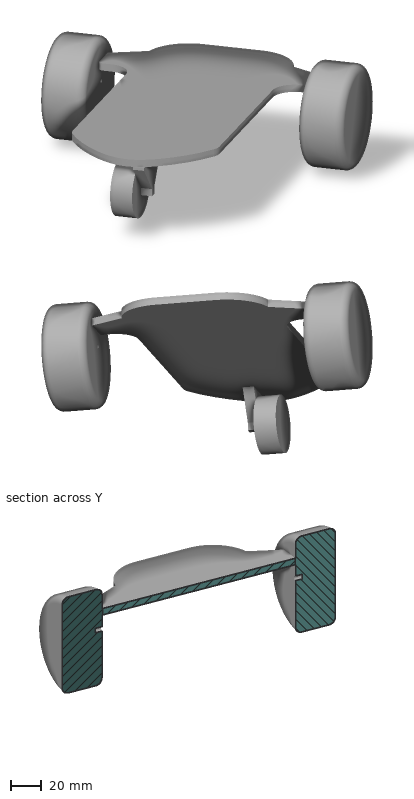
import cadquery as cq
import math


wheel_diameter = 70.0
wheel_width = 30.4
wheel_edge_radius = 5.0
overall_width = 206.0
wheel_pair_offset = -1.1
wheel_spacing = overall_width - wheel_width
wheel_hole_diameter = 3.0
wheel_hole_depth = 5.0
wheel_hole_y = 2.3
wheel_hole_z = 5.2

deck_thickness = 5.0
deck_bottom = 15.0
deck_half_width = 100.0 / 2
deck_front = 50.3
deck_front_radius = 30.0
tail_tip = -174.3
tail_side_end = -132.8
tail_curve_x = 48.0
tail_curve_y = -139.2
tail_middle_x = 25.5
tail_middle_y = -163.7

arm_half_span = 149.8 / 2
arm_rear = -4.8
arm_tip_front = 15.2
arm_root_front = 27.0
arm_root_x = 49.5
arm_tip_radius = 5.0
arm_root_radius = 15.0

caster_diameter = 38.0
caster_width = 15.0
caster_left = -10.7
overall_length = 226.7
caster_y = deck_front - overall_length + caster_diameter / 2
caster_z = -6.1

bracket_thickness = 7.5
bracket_top_front = -139.2
bracket_rear_lip = 1.8
bracket_stub_width = 5.0
bracket_stub_top = -5.2
bracket_stub_height = 5.0

caster_right = caster_left + caster_width
left_wheel_inner = wheel_pair_offset - wheel_spacing / 2 + wheel_width / 2
right_wheel_inner = wheel_pair_offset + wheel_spacing / 2 - wheel_width / 2


def make_wheel(side):
    """Rounded wheel with a small blind hole in its inner face; side is -1 for left, 1 for right."""
    center_x = wheel_pair_offset + side * wheel_spacing / 2
    wheel = (
        cq.Workplane("YZ", origin=(center_x - wheel_width / 2, 0, 0))
        .circle(wheel_diameter / 2)
        .extrude(wheel_width)
        .edges()
        .fillet(wheel_edge_radius)
    )
    inner_face_x = center_x - side * wheel_width / 2
    hole = (
        cq.Workplane("YZ", origin=(inner_face_x, wheel_hole_y, wheel_hole_z))
        .circle(wheel_hole_diameter / 2)
        .extrude(side * wheel_hole_depth)
    )
    return wheel.cut(hole)


def make_deck_body():
    """Long plate with a rounded front and a pointed, curved tail."""
    front_flat = deck_half_width - deck_front_radius
    arc_center_y = deck_front - deck_front_radius
    diagonal = deck_front_radius * math.sqrt(0.5)
    arc_middle = (front_flat + diagonal, arc_center_y + diagonal)
    tail_points = [
        (tail_middle_x, tail_middle_y),
        (0, tail_tip),
        (-tail_middle_x, tail_middle_y),
        (-tail_curve_x, tail_curve_y),
    ]
    return (
        cq.Workplane("XY", origin=(0, 0, deck_bottom))
        .moveTo(-front_flat, deck_front)
        .lineTo(front_flat, deck_front)
        .threePointArc(arc_middle, (deck_half_width, arc_center_y))
        .lineTo(deck_half_width, tail_side_end)
        .threePointArc(tail_corner_middle(1), (tail_curve_x, tail_curve_y))
        .spline(tail_points, includeCurrent=True)
        .threePointArc(tail_corner_middle(-1), (-deck_half_width, tail_side_end))
        .lineTo(-deck_half_width, arc_center_y)
        .threePointArc((-arc_middle[0], arc_middle[1]), (-front_flat, deck_front))
        .close()
        .extrude(deck_thickness)
    )


def tail_corner_middle(side):
    """Middle of a tail corner arc, which is tangent to the straight side."""
    inset = deck_half_width - tail_curve_x
    drop = tail_side_end - tail_curve_y
    radius = (inset**2 + drop**2) / (2 * inset)
    half_angle = math.asin(drop / radius) / 2
    x = side * (deck_half_width - radius * (1 - math.cos(half_angle)))
    y = tail_side_end - radius * math.sin(half_angle)
    return (x, y)


def make_arms():
    """Both arms as one crosspiece, ended flush with the inner wheel faces."""
    root_end = arm_rear - 2 * arm_root_radius
    half_outline = [
        (arm_root_x, arm_root_front),
        (arm_half_span, arm_tip_front),
        (arm_half_span, arm_rear),
        (deck_half_width, arm_rear),
        (deck_half_width, root_end),
    ]
    mirrored = [(-x, y) for x, y in reversed(half_outline)]
    arms = (
        cq.Workplane("XY", origin=(0, 0, deck_bottom))
        .polyline(half_outline + mirrored)
        .close()
        .extrude(deck_thickness)
    )
    tip_height = deck_bottom + deck_thickness / 2
    for side in (-1, 1):
        tip = (side * arm_half_span, arm_rear, tip_height)
        root = (side * deck_half_width, arm_rear, tip_height)
        arms = arms.edges(cq.NearestToPointSelector(tip)).fillet(arm_tip_radius)
        arms = arms.edges(cq.NearestToPointSelector(root)).fillet(arm_root_radius)
    between_wheels = cq.Workplane("XY").box(
        right_wheel_inner - left_wheel_inner, 2 * deck_front, 2 * wheel_diameter
    ).translate(((left_wheel_inner + right_wheel_inner) / 2, 0, 0))
    return arms.intersect(between_wheels)


def make_bracket():
    """Hanging plate that narrows to a short stub at the caster axis."""
    stub_rear = caster_y
    stub_front = stub_rear + bracket_stub_width
    stub_bottom = bracket_stub_top - bracket_stub_height
    return (
        cq.Workplane("YZ", origin=(caster_right, 0, 0))
        .moveTo(bracket_top_front, deck_bottom)
        .lineTo(tail_tip, deck_bottom)
        .lineTo(tail_tip, deck_bottom - bracket_rear_lip)
        .lineTo(stub_rear, bracket_stub_top)
        .lineTo(stub_rear, stub_bottom)
        .lineTo(stub_front, stub_bottom)
        .lineTo(stub_front, bracket_stub_top)
        .close()
        .extrude(bracket_thickness)
    )


def make_chassis():
    """Deck, arms and caster bracket as one solid."""
    return make_deck_body().union(make_arms()).union(make_bracket())


def make_caster():
    """Plain disc that runs against the bracket."""
    return (
        cq.Workplane("YZ", origin=(caster_left, caster_y, caster_z))
        .circle(caster_diameter / 2)
        .extrude(caster_width)
    )


chassis = make_chassis()
caster = make_caster()
wheels = [make_wheel(side).val() for side in (-1, 1)]

result = cq.Compound.makeCompound([chassis.val(), caster.val(), *wheels])